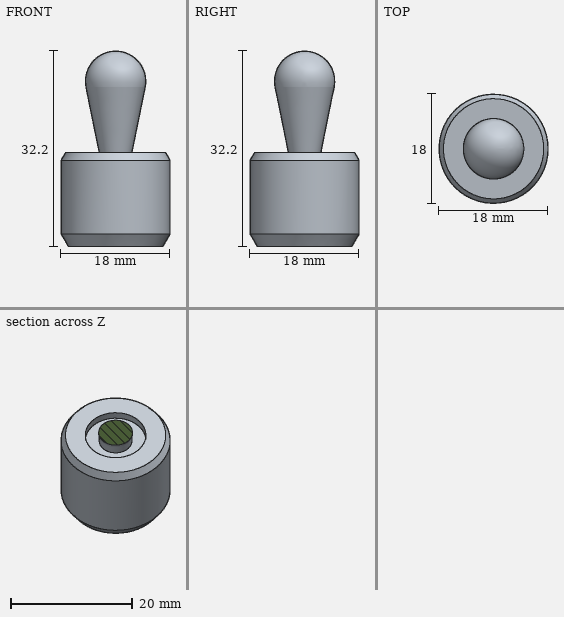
import cadquery as cq
import math

HOUSING_RADIUS = 9.0
HOUSING_HEIGHT = 15.5
BEVEL_ANGLE = 60.0
TOP_BEVEL_WIDTH = 0.75
BOTTOM_BEVEL_WIDTH = 1.2
RECESS_DEPTH = 1.35

TOTAL_HEIGHT = 32.2
BALL_RADIUS = 5.0
NECK_RADIUS = 2.7

recess_radius = BALL_RADIUS
recess_floor_z = HOUSING_HEIGHT - RECESS_DEPTH
ball_center_z = TOTAL_HEIGHT - BALL_RADIUS


def make_housing():
    """Bevelled cylinder with a round recess in its top face."""
    bevel_slope = math.tan(math.radians(BEVEL_ANGLE))
    top_bevel_height = TOP_BEVEL_WIDTH * bevel_slope
    bottom_bevel_height = BOTTOM_BEVEL_WIDTH * bevel_slope
    profile = (
        cq.Workplane("XZ")
        .moveTo(0, 0)
        .lineTo(HOUSING_RADIUS - BOTTOM_BEVEL_WIDTH, 0)
        .lineTo(HOUSING_RADIUS, bottom_bevel_height)
        .lineTo(HOUSING_RADIUS, HOUSING_HEIGHT - top_bevel_height)
        .lineTo(HOUSING_RADIUS - TOP_BEVEL_WIDTH, HOUSING_HEIGHT)
        .lineTo(recess_radius, HOUSING_HEIGHT)
        .lineTo(recess_radius, recess_floor_z)
        .lineTo(0, recess_floor_z)
        .close()
    )
    return profile.revolve(360, (0, 0, 0), (0, 1, 0))


def ball_point(elevation):
    """Radius and height of the point on the ball at an elevation angle."""
    return (
        BALL_RADIUS * math.cos(elevation),
        ball_center_z + BALL_RADIUS * math.sin(elevation),
    )


def make_pin():
    """Pin standing on the recess floor; its cone starts level with the housing top."""
    cone_to_center = ball_center_z - HOUSING_HEIGHT
    edge_distance = math.hypot(NECK_RADIUS, cone_to_center)
    edge_elevation = -math.atan2(cone_to_center, NECK_RADIUS)
    tangent_elevation = edge_elevation + math.acos(BALL_RADIUS / edge_distance)
    arc_middle_elevation = (tangent_elevation + math.pi / 2) / 2
    profile = (
        cq.Workplane("XZ")
        .moveTo(0, recess_floor_z)
        .lineTo(NECK_RADIUS, recess_floor_z)
        .lineTo(NECK_RADIUS, HOUSING_HEIGHT)
        .lineTo(*ball_point(tangent_elevation))
        .threePointArc(ball_point(arc_middle_elevation), (0, TOTAL_HEIGHT))
        .close()
    )
    return profile.revolve(360, (0, 0, 0), (0, 1, 0))


housing = make_housing()
pin = make_pin()

result = cq.Compound.makeCompound([housing.val(), pin.val()])